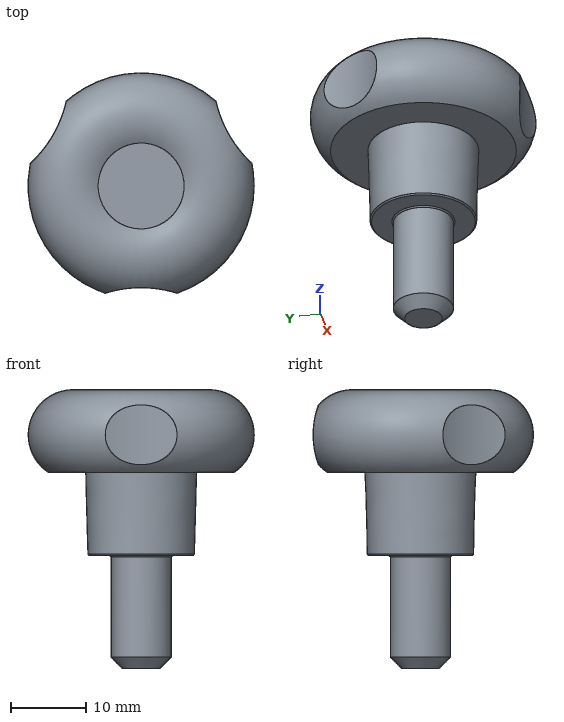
import cadquery as cq
import math

total_height = 37.0
head_diameter = 30.0
rim_radius = 6.0
head_bottom_z = 26.0
dish_depth = 1.0
neck_bottom_z = 15.0
neck_top_radius = 7.35
neck_bottom_radius = 7.05
neck_edge_chamfer = 0.2
stud_diameter = 8.0
stud_chamfer = 1.5
stud_flare = 0.2
scallop_count = 3
scallop_radius = 16.0
scallop_floor_radius = 13.5

head_radius = head_diameter / 2
stud_radius = stud_diameter / 2
rim_center_radius = head_radius - rim_radius
rim_center_z = total_height - rim_radius
dish_z = total_height - dish_depth
dish_radius = rim_center_radius - math.sqrt(rim_radius**2 - (dish_z - rim_center_z) ** 2)
head_bottom_radius = rim_center_radius + math.sqrt(rim_radius**2 - (rim_center_z - head_bottom_z) ** 2)


def make_head():
    """Round-rimmed knob head with a flat-bottomed dish in its top."""
    return (
        cq.Workplane("XZ")
        .moveTo(0, head_bottom_z)
        .lineTo(head_bottom_radius, head_bottom_z)
        .threePointArc((head_radius, rim_center_z), (dish_radius, dish_z))
        .lineTo(0, dish_z)
        .close()
        .revolve(360, (0, 0, 0), (0, 1, 0))
    )


def make_neck():
    """Tapered neck, narrower at its chamfered lower edge."""
    neck = (
        cq.Workplane("XY")
        .workplane(offset=neck_bottom_z)
        .circle(neck_bottom_radius)
        .workplane(offset=head_bottom_z - neck_bottom_z)
        .circle(neck_top_radius)
        .loft(ruled=True)
    )
    return neck.faces("<Z").edges().chamfer(neck_edge_chamfer)


def make_stud():
    """Plain stud with a chamfered tip, reaching up to the head."""
    return cq.Workplane("XY").circle(stud_radius).extrude(head_bottom_z).faces("<Z").chamfer(stud_chamfer)


def make_flare():
    """Short cone that widens the stud where it meets the neck."""
    return (
        cq.Workplane("XY")
        .workplane(offset=neck_bottom_z - stud_flare)
        .circle(stud_radius)
        .workplane(offset=stud_flare)
        .circle(stud_radius + stud_flare)
        .loft(ruled=True)
    )


def make_scallops():
    """Upright cylinders that cut evenly spaced finger hollows, the first on -Y."""
    return (
        cq.Workplane("XY")
        .workplane(offset=head_bottom_z)
        .polarArray(scallop_floor_radius + scallop_radius, -90, 360, scallop_count)
        .circle(scallop_radius)
        .extrude(total_height - head_bottom_z)
    )


head = make_head().cut(make_scallops())
result = head.union(make_neck()).union(make_stud()).union(make_flare())